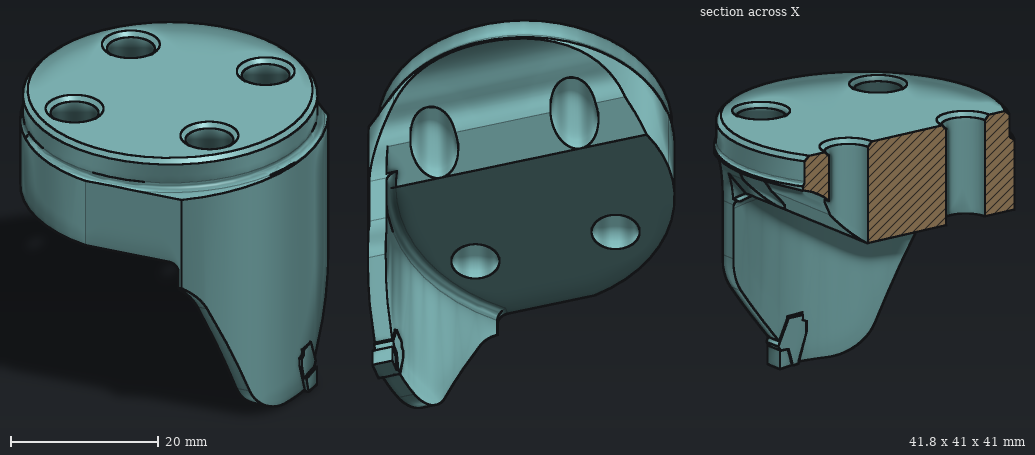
import cadquery as cq
import math


DISK_RADIUS = 40.0 / 2
DISK_CHAMFER = 0.65
DISK_EDGE_DEPTH = 3.5
SHOULDER_DEPTH = 4.47
BODY_DEPTH = 14.42
HOLDER_DEPTH = 40.45

HOLE_DIAMETER = 6.5
COUNTERSINK_DIAMETER = 7.85
HOLE_OFFSET = 9.9

BACK_RADIUS = 20.27
LEFT_RADIUS = 21.25
FLAT_Y = -20.7
OUTER_CENTER_X = -4.0
OUTER_RADIUS = 25.15

INNER_CENTER_X = -7.95
INNER_CENTER_Y = -0.4
INNER_RADIUS = 26.63
INNER_LIP_X = 9.85
ROOT_FILLET = 1.4
BLADE_BACK_Y = 9.5
BACK_CORNER_DEPTH = 25.85
BACK_CORNER_RADIUS = 8.0
TIP_BACK_Y = -2.55
FRONT_CORNER_Y = -19.15
FRONT_CORNER_DEPTH = 19.77
FRONT_CORNER_RADIUS = 10.5
FRONT_TOP_DEPTH = 18.1
TIP_FRONT_Y = -11.87
TIP_CORNER_RADIUS = 6.48

SCOOP_RADIUS = 10.8
RELIEF_Y = 6.65
RELIEF_RUN = 4.4

INSERT_INNER_X = 18.45
INSERT_OUTER_X = 21.15
INSERT_TIP_X = 21.53
INSERT_TOP_DEPTH = 33.9
INSERT_TIP_TOP_DEPTH = 38.3
INSERT_DEPTH = 41.0
INSERT_OUTLINE = [
    (-1.13, INSERT_TOP_DEPTH),
    (0.63, 37.6),
    (0.15, INSERT_TIP_TOP_DEPTH),
    (0.15, INSERT_DEPTH),
    (-2.8, 40.7),
    (-4.25, 36.07),
    (-4.25, 34.95),
    (-3.6, 34.65),
    (-3.55, INSERT_TOP_DEPTH),
]
FACET_SIDE_Y = -1.13
FACET_BOTTOM_Y = -1.92
FACET_SINK = 0.25
POCKET_RELIEF = 0.45

LOW = -50.15
FAR = 50.15


def on_circle(center_x, center_y, radius, y):
    """Right-hand point at height y of a circle in the XY plane."""
    return (center_x + math.sqrt(radius**2 - (y - center_y)**2), y)


def yz_prism(points, x_start, x_end):
    """Prism along X of a (Y, depth) polygon."""
    outline = cq.Workplane("YZ").workplane(offset=x_start)
    return outline.polyline([(y, -depth) for y, depth in points]).close().extrude(x_end - x_start)


def body_outline():
    """Rounded body outline with a 45 degree tangent, a blade arc and a front flat."""
    diagonal = math.sqrt(0.5)
    tangent = (BACK_RADIUS * diagonal, BACK_RADIUS * diagonal)
    reach = BACK_RADIUS / diagonal - OUTER_CENTER_X
    blade_y = (reach - math.sqrt(2 * OUTER_RADIUS**2 - reach**2)) / 2
    blade_end = on_circle(OUTER_CENTER_X, 0, OUTER_RADIUS, blade_y)
    flat_right = on_circle(OUTER_CENTER_X, 0, OUTER_RADIUS, FLAT_Y)
    left_center_x = LEFT_RADIUS - BACK_RADIUS
    flat_left = (left_center_x - math.sqrt(LEFT_RADIUS**2 - FLAT_Y**2), FLAT_Y)
    left_middle = (left_center_x - LEFT_RADIUS * diagonal, -LEFT_RADIUS * diagonal)
    return (
        cq.Workplane("XY")
        .moveTo(-BACK_RADIUS, 0)
        .threePointArc((-BACK_RADIUS * diagonal, BACK_RADIUS * diagonal), tangent)
        .lineTo(*blade_end)
        .threePointArc((OUTER_CENTER_X + OUTER_RADIUS, 0), flat_right)
        .lineTo(*flat_left)
        .threePointArc(left_middle, (-BACK_RADIUS, 0))
        .close()
    )


def turned_limit():
    """Turned shape: chamfered disk, concave fillet and shoulder."""
    fillet = SHOULDER_DEPTH - DISK_EDGE_DEPTH
    fillet_middle = (
        DISK_RADIUS + fillet * (1 - math.sqrt(0.5)),
        -DISK_EDGE_DEPTH - fillet * math.sqrt(0.5),
    )
    return (
        cq.Workplane("XZ")
        .lineTo(DISK_RADIUS - DISK_CHAMFER, 0)
        .lineTo(DISK_RADIUS, -DISK_CHAMFER)
        .lineTo(DISK_RADIUS, -DISK_EDGE_DEPTH)
        .threePointArc(fillet_middle, (DISK_RADIUS + fillet, -SHOULDER_DEPTH))
        .lineTo(FAR, -SHOULDER_DEPTH)
        .lineTo(FAR, LOW)
        .lineTo(0, LOW)
        .close()
        .revolve(360, (0, 0, 0), (0, 1, 0))
    )


def inner_space(top_depth):
    """Space on the inner side of the blade face, from top_depth downwards."""
    lip_dx = INNER_LIP_X - INNER_CENTER_X
    lip_y = INNER_CENTER_Y - math.sqrt(INNER_RADIUS**2 - lip_dx**2)
    back = on_circle(INNER_CENTER_X, INNER_CENTER_Y, INNER_RADIUS, -lip_y)
    return (
        cq.Workplane("XY")
        .workplane(offset=-top_depth)
        .moveTo(-FAR, -FAR)
        .lineTo(INNER_LIP_X, -FAR)
        .lineTo(INNER_LIP_X, lip_y)
        .threePointArc((INNER_CENTER_X + INNER_RADIUS, INNER_CENTER_Y), back)
        .lineTo(back[0], FAR)
        .lineTo(-FAR, FAR)
        .close()
        .extrude(LOW + top_depth)
    )


def under_body_space():
    """Space below the body, with the blade root rounded."""
    top_edge = cq.selectors.BoxSelector(
        (0, -FAR + 0.4, -BODY_DEPTH - 0.4), (FAR, FAR - 0.4, -BODY_DEPTH + 0.4), boundingbox=False
    )
    return inner_space(BODY_DEPTH).edges(top_edge).fillet(ROOT_FILLET)


def side_silhouette():
    """Keeps the blade within its tapered, rounded side shape."""
    blade = yz_prism(
        [
            (-FAR, 0),
            (-FAR, FRONT_TOP_DEPTH),
            (FLAT_Y, FRONT_TOP_DEPTH),
            (FRONT_CORNER_Y, FRONT_CORNER_DEPTH),
            (TIP_FRONT_Y, HOLDER_DEPTH),
            (TIP_BACK_Y, HOLDER_DEPTH),
            (BLADE_BACK_Y, BACK_CORNER_DEPTH),
            (BLADE_BACK_Y, 0),
        ],
        -FAR,
        FAR,
    )
    corners = [
        (FRONT_CORNER_Y, FRONT_CORNER_DEPTH, FRONT_CORNER_RADIUS),
        (TIP_FRONT_Y, HOLDER_DEPTH, TIP_CORNER_RADIUS),
        (BLADE_BACK_Y, BACK_CORNER_DEPTH, BACK_CORNER_RADIUS),
    ]
    for y, depth, radius in corners:
        blade = blade.edges(cq.selectors.NearestToPointSelector((0, y, -depth))).fillet(radius)
    center_y = BLADE_BACK_Y + SCOOP_RADIUS
    center_depth = SHOULDER_DEPTH + SCOOP_RADIUS
    overhang = yz_prism(
        [(0, 0), (FAR, 0), (FAR, SHOULDER_DEPTH), (center_y, SHOULDER_DEPTH),
         (center_y, center_depth), (0, center_depth)],
        -FAR,
        FAR,
    )
    scoop = (
        cq.Workplane("YZ").workplane(offset=-FAR)
        .center(center_y, -center_depth).circle(SCOOP_RADIUS).extrude(2 * FAR)
    )
    return blade.union(overhang.cut(scoop))


def back_relief():
    """45 degree relief at the back of the underside, on the inner side only."""
    end_y = RELIEF_Y + RELIEF_RUN
    wedge = yz_prism(
        [(RELIEF_Y, BODY_DEPTH), (end_y, BODY_DEPTH - RELIEF_RUN), (end_y, BODY_DEPTH)],
        -FAR,
        FAR,
    )
    return wedge.intersect(inner_space(0))


def mounting_holes():
    """Four through holes with 45 degree countersinks."""
    corners = [(x, y) for x in (-HOLE_OFFSET, HOLE_OFFSET) for y in (-HOLE_OFFSET, HOLE_OFFSET)]
    radius = HOLE_DIAMETER / 2
    sink_radius = COUNTERSINK_DIAMETER / 2
    profile = [
        (0, 0),
        (sink_radius, 0),
        (radius, radius - sink_radius),
        (radius, LOW),
        (0, LOW),
    ]
    hole = cq.Workplane("XZ").polyline(profile).close().revolve(360, (0, 0, 0), (0, 1, 0)).val()
    return cq.Workplane("XY").pushPoints(corners).eachpoint(lambda place: hole.moved(place))


def pocket_clearance():
    """Sloped ceiling of the insert pocket, open on the inner side."""
    back_y = INSERT_OUTLINE[0][0]
    front_y = INSERT_OUTLINE[-1][0]
    x_inner = INSERT_INNER_X - POCKET_RELIEF
    x_outer = INSERT_INNER_X + POCKET_RELIEF
    return (
        cq.Workplane("XZ")
        .workplane(offset=-back_y)
        .polyline([
            (x_inner, -INSERT_TOP_DEPTH),
            (x_inner, -INSERT_TOP_DEPTH + 2 * POCKET_RELIEF),
            (x_outer, -INSERT_TOP_DEPTH),
        ])
        .close()
        .extrude(back_y - front_y)
    )


def insert_blank():
    """Insert with a wider tip; also the shape of its pocket."""
    insert = yz_prism(INSERT_OUTLINE, INSERT_INNER_X, INSERT_TIP_X)
    outer_step = cq.Workplane("XY").box(
        INSERT_TIP_X - INSERT_OUTER_X, 2 * FAR, INSERT_TIP_TOP_DEPTH, centered=(False, True, False)
    ).translate((INSERT_OUTER_X, 0, -INSERT_TIP_TOP_DEPTH))
    return insert.cut(outer_step)


def make_insert():
    """Cutting insert with a sunken facet at the cutting corner."""
    facet = yz_prism(
        [(FAR, INSERT_TIP_TOP_DEPTH), (FACET_SIDE_Y, INSERT_TIP_TOP_DEPTH),
         (FACET_BOTTOM_Y, INSERT_DEPTH), (FAR, INSERT_DEPTH)],
        INSERT_INNER_X,
        INSERT_INNER_X + FACET_SINK,
    )
    return insert_blank().cut(facet)


def make_holder():
    """Adapter disk with its curved blade support and the insert pocket."""
    holder = body_outline().extrude(-HOLDER_DEPTH).intersect(turned_limit())
    holder = holder.intersect(side_silhouette())
    holder = holder.cut(under_body_space()).cut(back_relief()).cut(mounting_holes())
    return holder.cut(pocket_clearance()).cut(insert_blank())


insert = make_insert()
holder = make_holder()

result = cq.Compound.makeCompound([holder.val(), insert.val()])